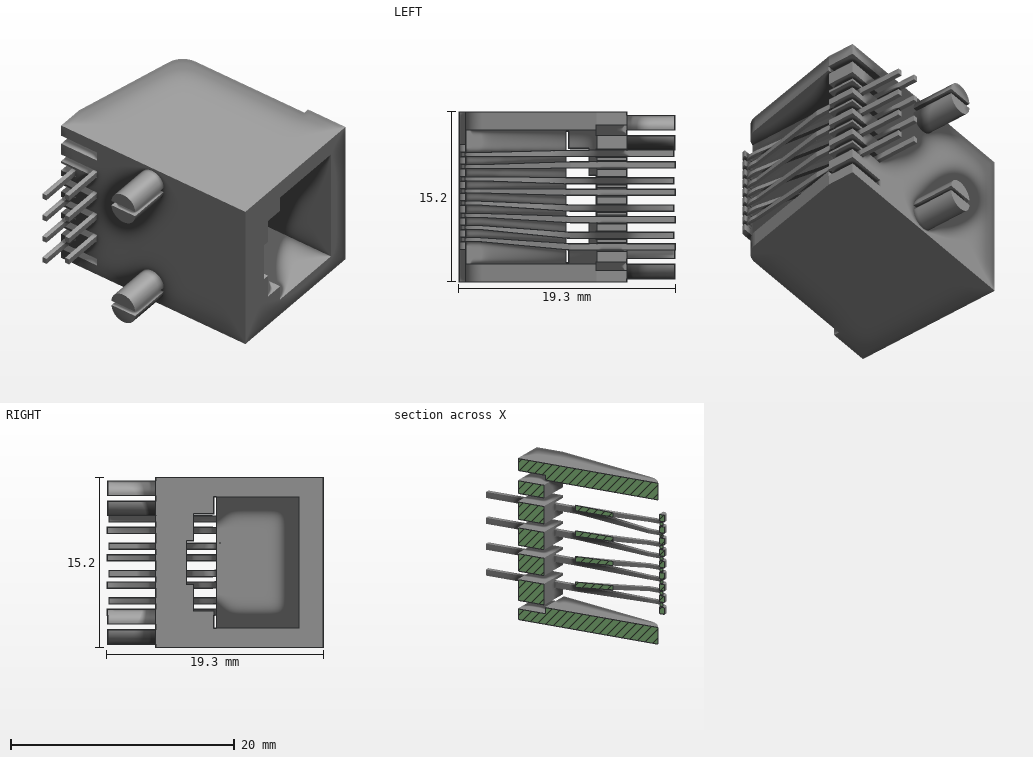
import cadquery as cq
import math


length = 20.55
depth = 15.01
width = 15.25
half_width = width / 2
side_wall = 1.62
floor_height = 2.7
comb_thickness = 0.55
deck = depth - comb_thickness
deck_end = 16.37
rear_slope = 13.0
rear_radius = 1.89

pocket_depth = 3.85
pocket_half_width = half_width - side_wall
rear_wall = 0.82
rear_wall_bottom = 5.45
cavity_half_width = 5.87
cavity_bottom = 5.22
cavity_top = deck - side_wall
keyway_bottom = 2.77
latch_half_width = 1.95
latch_shoulder = 3.4
latch_shoulder_half_width = 4.35

contacts_per_row = 4
row_pitch = 2.45
pin_thickness = 0.43
pin_width = 0.58
pin_bend = 5.03
front_row_back = 4.0
front_row_first_z = 3.9
front_row_tip = -4.2
rear_row_back = 1.58
rear_row_first_z = 2.88
rear_row_tip = -4.33
front_slot_width = 0.75
rear_slot_width = 0.82
slot_height = 2.77

upper_side_slot = (5.53, 6.45)
lower_side_slot = (-6.57, -5.81)

tip_pitch = 1.09
tip_first_z = (2 * contacts_per_row - 1) * tip_pitch / 2
tip_width = 0.35
tip_thickness = 0.35
tip_front = 2.77
tip_bend = 13.15
hook_start = 13.6
hook_top = 14.83
hook_arc_end = 3.39
comb_start = 2.77
comb_width = 9.4
comb_nose_radius = 0.51
groove_width = 0.45

post_x = 10.13
post_z = 5.75
post_radius = 1.31
post_split = 0.5
post_length = 4.3


def block(x, y, z):
    """Box between the (low, high) limits given for each axis."""
    size = (x[1] - x[0], y[1] - y[0], z[1] - z[0])
    return cq.Workplane("XY").box(*size, centered=False).translate((x[0], y[0], z[0]))


def centred(middle, size):
    return middle - size / 2, middle + size / 2


def row_z(first_z, i):
    return first_z - i * row_pitch


def tip_z_at(i):
    return tip_first_z - i * tip_pitch


def make_shell():
    slope_run = (deck - floor_height) * math.tan(math.radians(rear_slope))
    outline = [(0, 0), (length, 0), (length, depth), (deck_end, depth),
               (deck_end, deck), (slope_run, deck), (0, floor_height)]
    shell = cq.Workplane("XY").polyline(outline).close().extrude(half_width, both=True)
    deck_corner = cq.selectors.NearestToPointSelector((slope_run, deck, 0))
    return shell.edges(deck_corner).fillet(rear_radius)


def cut_openings(shell):
    pocket_z = (-pocket_half_width, pocket_half_width)
    shell = shell.cut(block((0, pocket_depth), (floor_height, depth), pocket_z))

    cavity_start = pocket_depth + rear_wall
    cavity_z = (-cavity_half_width, cavity_half_width)
    shell = shell.cut(block((cavity_start, length), (cavity_bottom, cavity_top), cavity_z))
    shell = shell.cut(block((pocket_depth, length), (cavity_bottom, rear_wall_bottom), cavity_z))

    for bottom, half in ((latch_shoulder, latch_shoulder_half_width), (keyway_bottom, latch_half_width)):
        shell = shell.cut(block((pocket_depth, length), (bottom, cavity_bottom), (-half, half)))
    return shell


def cut_floor_slots(shell):
    slot_y = (0, slot_height)
    for z_limits in (upper_side_slot, lower_side_slot):
        shell = shell.cut(block((0, front_row_back), slot_y, z_limits))
    for i in range(contacts_per_row):
        front_z = row_z(front_row_first_z, i)
        rear_z = row_z(rear_row_first_z, i)
        shell = shell.cut(block((0, front_row_back), slot_y, centred(front_z, front_slot_width)))
        shell = shell.cut(block((0, rear_row_back), slot_y, centred(rear_z, rear_slot_width)))
    return shell


def make_comb():
    comb = block((comb_start, deck_end), (deck, depth), centred(0, comb_width))
    nose = cq.selectors.NearestToPointSelector((comb_start, depth, 0))
    comb = comb.edges(nose).fillet(comb_nose_radius)
    for i in range(2 * contacts_per_row):
        groove_z = centred(tip_z_at(i), groove_width)
        comb = comb.cut(block((comb_start, pocket_depth), (deck, depth), groove_z))
    return comb


def make_contact(pin_back, pin_z, pin_tip, tip_z):
    pin_x = (pin_back - pin_thickness, pin_back)
    pin = block(pin_x, (pin_tip, pin_bend), centred(pin_z, pin_width))

    spring = (
        cq.Workplane("XZ", origin=(0, pin_bend, 0))
        .center(pin_back - pin_thickness / 2, pin_z)
        .rect(pin_thickness, pin_width)
        .workplane(offset=pin_bend - tip_bend, origin=(0, pin_bend, 0))
        .center(tip_front + tip_thickness / 2, tip_z)
        .rect(tip_thickness, tip_width)
        .loft(ruled=True)
    )

    hook = (
        cq.Workplane("XY", origin=(0, 0, tip_z))
        .moveTo(tip_front, tip_bend)
        .lineTo(tip_front, hook_start)
        .tangentArcPoint((hook_arc_end, hook_top), relative=False)
        .lineTo(pocket_depth, hook_top)
        .lineTo(pocket_depth, hook_top - tip_thickness)
        .lineTo(tip_front + tip_thickness, hook_top - tip_thickness)
        .lineTo(tip_front + tip_thickness, tip_bend)
        .close()
        .extrude(tip_width / 2, both=True)
    )
    return pin.union(spring).union(hook)


def make_post(z):
    """Two half-round prongs with a flat gap between them."""
    post = None
    for side in (1, -1):
        flat_z = z + side * post_split / 2
        prong = (
            cq.Workplane("XZ")
            .moveTo(post_x - post_radius, flat_z)
            .threePointArc((post_x, flat_z + side * post_radius), (post_x + post_radius, flat_z))
            .close()
            .extrude(post_length)
        )
        post = prong if post is None else post.union(prong)
    return post


result = cut_floor_slots(cut_openings(make_shell())).union(make_comb())
for i in range(contacts_per_row):
    front_z = row_z(front_row_first_z, i)
    rear_z = row_z(rear_row_first_z, i)
    result = result.union(make_contact(front_row_back, front_z, front_row_tip, tip_z_at(2 * i)))
    result = result.union(make_contact(rear_row_back, rear_z, rear_row_tip, tip_z_at(2 * i + 1)))
for z in (post_z, -post_z):
    result = result.union(make_post(z))